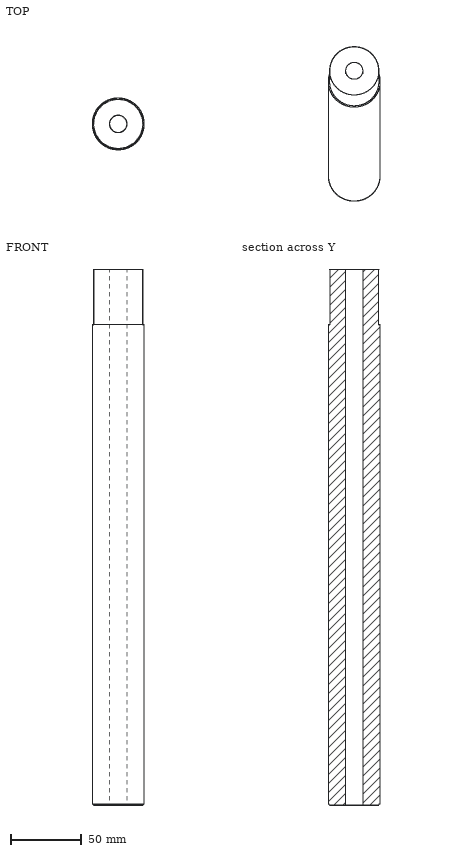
import cadquery as cq

total_length = 380.2
body_diameter = 37.0

neck_diameter = 35.0
neck_length = 39.0

bore_diameter = 12.0
bottom_chamfer = 1.0

body_length = total_length - neck_length

body = cq.Workplane("XY").circle(body_diameter / 2).extrude(body_length)
body = body.faces("<Z").edges().chamfer(bottom_chamfer)

neck = (
    cq.Workplane("XY")
    .workplane(offset=body_length)
    .circle(neck_diameter / 2)
    .extrude(neck_length)
)

bore = cq.Workplane("XY").circle(bore_diameter / 2).extrude(total_length)

result = body.union(neck).cut(bore)